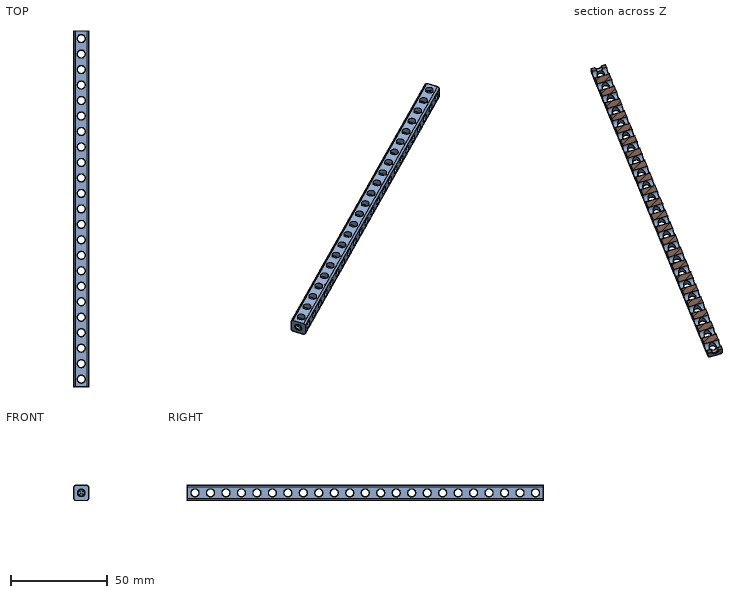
import cadquery as cq

width = 8.0
corner_diameter = 10.0
pitch = 8.0
station_count = 23
length = pitch * station_count

cross_hole_diameter = 4.0
first_station = -length / 2 + pitch / 2
stations = [first_station + i * pitch for i in range(station_count)]

end_hole_diameter = 3.2
end_hole_depth = pitch / 2
countersink_diameter = 4.0
countersink_depth = (countersink_diameter - end_hole_diameter) / 2


def make_bar():
    square_bar = cq.Workplane("XY").box(width, length, width)
    round_stock = cq.Workplane("XZ").circle(corner_diameter / 2).extrude(length / 2, both=True)
    return square_bar.intersect(round_stock)


def make_cross_holes(plane, centers):
    """Row of cutters normal to the plane, long enough to pass through the bar."""
    holes = cq.Workplane(plane).pushPoints(centers).circle(cross_hole_diameter / 2)
    return holes.extrude(width, both=True)


def make_end_hole():
    """Cutter for the axial hole in the -Y end."""
    end_y = -length / 2
    hole_radius = end_hole_diameter / 2
    half_profile = [
        (0, end_y),
        (countersink_diameter / 2, end_y),
        (hole_radius, end_y + countersink_depth),
        (hole_radius, end_y + end_hole_depth),
        (0, end_y + end_hole_depth),
    ]
    return cq.Workplane("XY").polyline(half_profile).close().revolve(360, (0, 0), (0, 1))


holes_along_z = make_cross_holes("XY", [(0, y) for y in stations])
holes_along_x = make_cross_holes("YZ", [(y, 0) for y in stations])
end_hole = make_end_hole()

result = make_bar()
for cutter in (holes_along_z, holes_along_x, end_hole, end_hole.mirror("XZ")):
    result = result.cut(cutter)